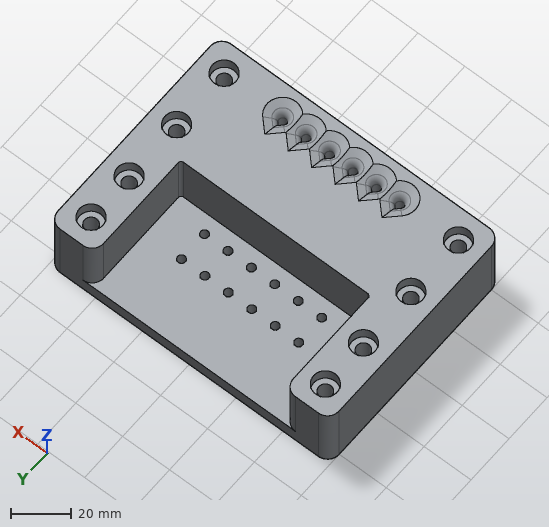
import cadquery as cq
import math

length = 120.0
width = 90.0
height = 30.0
corner_radius = 4.9

pitch = length / 12

pocket_length = 81.0
pocket_width = 45.4
floor_thickness = 6.0
pocket_corner_radius = 1.2

mount_x = length / 2 - pitch
mount_y_end = width / 2 - pitch
mount_rows = (mount_y_end, 1.5 * pitch, -pitch, -mount_y_end)
mount_diameter = 5.5
counterbore_diameter = 10.0
counterbore_depth = 5.0

station_count = 6
station_xs = [(i - (station_count - 1) / 2) * pitch for i in range(station_count)]
small_diameter = 3.2
floor_hole_rows = (18.2, 6.1)

funnel_y = -mount_y_end
mouth_diameter = 13.3
throat_diameter = 7.2
throat_depth = 1.7


def make_block():
    block = cq.Workplane("XY").box(length, width, height, centered=(True, True, False))
    return block.edges("|Z").fillet(corner_radius)


def make_pocket():
    """Pocket with rounded inner corners and a mouth that flares out at the back edge."""
    half = pocket_length / 2
    front = width / 2 - pocket_width
    back = width / 2
    inner = pocket_corner_radius
    flare_y = back - corner_radius
    inner_chord = inner * (1 - math.sqrt(0.5))
    flare_chord = corner_radius * (1 - math.sqrt(0.5))
    return (
        cq.Workplane("XY", origin=(0, 0, floor_thickness))
        .moveTo(-half + inner, front)
        .lineTo(half - inner, front)
        .threePointArc((half - inner_chord, front + inner_chord), (half, front + inner))
        .lineTo(half, flare_y)
        .threePointArc((half + flare_chord, back - flare_chord), (half + corner_radius, back))
        .lineTo(-half - corner_radius, back)
        .threePointArc((-half - flare_chord, back - flare_chord), (-half, flare_y))
        .lineTo(-half, front + inner)
        .threePointArc((-half + inner_chord, front + inner_chord), (-half + inner, front))
        .close()
        .extrude(height - floor_thickness)
    )


def funnel_profile():
    """Half section in XZ: straight bore, rounded throat tangent to it, then the flat mouth cone."""
    bore = small_diameter / 2
    slope = math.atan2(throat_depth, (mouth_diameter - throat_diameter) / 2)
    throat_z = height - throat_depth
    round_radius = (throat_diameter / 2 - bore) / (1 - math.sin(slope))
    center_x = bore + round_radius
    center_z = throat_z - round_radius * math.cos(slope)
    middle_angle = (math.pi / 2 + slope) / 2
    round_middle = (
        center_x - round_radius * math.sin(middle_angle),
        center_z + round_radius * math.cos(middle_angle),
    )
    return (
        cq.Workplane("XZ")
        .lineTo(bore, 0)
        .lineTo(bore, center_z)
        .threePointArc(round_middle, (throat_diameter / 2, throat_z))
        .lineTo(mouth_diameter / 2, height)
        .lineTo(0, height)
        .close()
    )


def make_funnel():
    """Round funnel drawn out to a right-angled point toward +Y."""
    round_part = funnel_profile().revolve(360, (0, 0, 0), (0, 1, 0))
    wall_along_y = funnel_profile().extrude(-mouth_diameter)
    wall_along_x = wall_along_y.mirror("YZ").rotate((0, 0, 0), (0, 0, 1), -90)
    point = wall_along_y.intersect(wall_along_x).rotate((0, 0, 0), (0, 0, 1), 45)
    return round_part.union(point)


def make_floor_holes():
    points = [(x, y) for x in station_xs for y in floor_hole_rows]
    return cq.Workplane("XY").pushPoints(points).circle(small_diameter / 2).extrude(floor_thickness)


def add_mounting_holes(block):
    points = [(x, y) for x in (-mount_x, mount_x) for y in mount_rows]
    return (
        block.faces(">Z")
        .workplane(origin=(0, 0, height))
        .pushPoints(points)
        .cboreHole(mount_diameter, counterbore_diameter, counterbore_depth)
    )


result = make_block().cut(make_pocket())
result = add_mounting_holes(result)
result = result.cut(make_floor_holes())

funnel = make_funnel()
for station_x in station_xs:
    result = result.cut(funnel.translate((station_x, funnel_y, 0)))